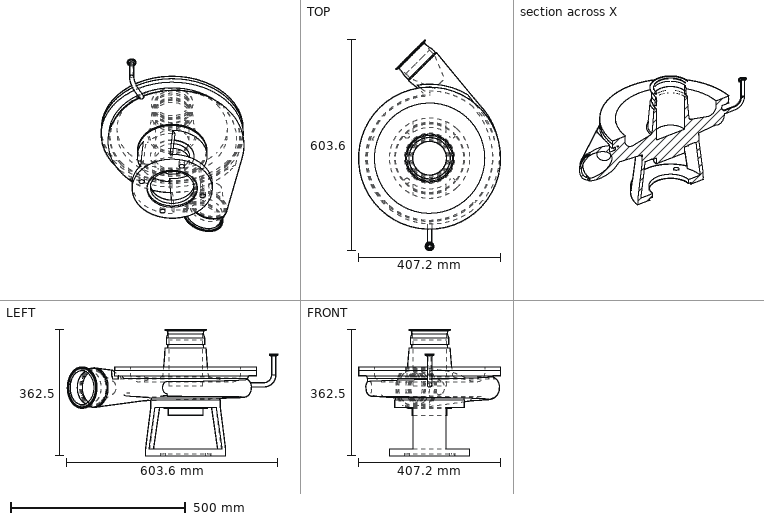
import cadquery as cq
import math

FOOT_TOP = 20.5
BOSS_BOTTOM = 116.5
COLLAR_BOTTOM = 138.5
COLLAR_TOP = 161.0
VOLUTE_Z = 196.0
CLEARANCE_Z = 221.0
FLANGE_BOTTOM = 229.5
COVER_BOTTOM = 244.5
COVER_TOP = 255.5
OVERALL_HEIGHT = 362.5

FOOT_RADIUS = 115.0
FOOT_BORE_RADIUS = 62.5
FOOT_RECESS_RADIUS = 72.0
FOOT_RECESS_DEPTH = 6.0
BOLT_CIRCLE_RADIUS = 91.5
BOLT_HOLE_DIAMETER = 15.0
BOLT_HOLE_COUNT = 4
BOLT_START_ANGLE = 45.0
LEG_WIDTH = 95.0
LEG_THICKNESS = 12.0

COLLAR_RADIUS = 100.0
COLLAR_NECK_RADIUS = 98.0
HUB_PLATE_RADIUS = 62.5
HUB_PLATE_THICKNESS = 2.0
BOSS_RADIUS = 50.0

CASING_RADIUS = 178.0
CASING_FLOOR_INNER_Z = 166.5
CASING_FLOOR_OUTER_Z = 172.0
CASING_CORNER = 8.0
NECK_FLARE = 3.5
FLANGE_RADIUS = 203.61
COVER_SETBACK = 0.3
COVER_RADIUS = FLANGE_RADIUS - COVER_SETBACK

BOWL_RADIUS = 158.0
BOWL_FLOOR_RADIUS = 129.5
BOWL_FLOOR_Z = 213.0
HUB_BASE_RADIUS = 69.0
HUB_BASE_Z = 226.0
HUB_BASE_FLARE = 3.5
HUB_TOP_RADIUS = 59.0

COUPLING_FLANGE_RADIUS = 59.5
COUPLING_FLANGE_THICKNESS = 2.0
COUPLING_FLANGE_TAPER = 2.5
COUPLING_TUBE_RADIUS = 51.6
COUPLING_SLEEVE_RADIUS = 55.3
BORE_RADIUS = 48.5
INNER_BORE_RADIUS = 48.0
BORE_STEP_DEPTH = 29.5
BORE_DEPTH = 50.0

INLET_TAPER_START = 13.5
INLET_SLEEVE_START = 24.5
INLET_SLEEVE_END = 43.5
INLET_LENGTH = 53.0
OUTLET_TAPER_START = 11.5
OUTLET_SLEEVE_START = 32.0
OUTLET_SLEEVE_END = 46.0
OUTLET_LENGTH = 49.5

INLET_PASSAGE_BOTTOM = 200.0
OUTLET_PASSAGE_DEPTH = 118.0
OUTLET_PASSAGE_END_RADIUS = 20.0

TAIL_ANGLE = 162.5
OUTLET_ANGLE = 45.0
TAIL_HALF_WIDTH = 18.0
TAIL_HALF_HEIGHT = 25.0
TAIL_CENTRE_RADIUS = 165.0
THROAT_RADIUS = 38.0
THROAT_CENTRE_RADIUS = 171.0
SECTION_COUNT = 10
GROWTH_POWER = 1.85

OUTLET_REACH = 248.7
OUTLET_END_RADIUS = 57.0
CLEARANCE_RADIUS = 212.0
CLEARANCE_INNER_RADIUS = 193.0
INSIDE_CORNER_ROUNDING = 6.0

DRAIN_Z = 204.0
DRAIN_REACH = 252.3
DRAIN_RADIUS = 6.5
DRAIN_BORE_RADIUS = 4.6
DRAIN_BEND_RADIUS = 28.0
DRAIN_TOP = 292.0
DRAIN_FLANGE_RADIUS = 12.5
DRAIN_FLANGE_THICKNESS = 3.0
DRAIN_FLANGE_TAPER = 3.0
DRAIN_ROOT = 170.0

GASKET_GROOVE_DEPTH = 1.0
OUTLET_GASKET_RADII = (55.0, 58.0)
DRAIN_GASKET_RADII = (8.5, 11.0)


def disc(radius, bottom, top):
    return cq.Workplane("XY").workplane(offset=bottom).circle(radius).extrude(top - bottom)


def turned(points):
    """Solid of revolution about Z from (radius, z) points."""
    return cq.Workplane("XZ").polyline(points).close().revolve(360, (0, 0, 0), (0, 1, 0))


def gasket_groove(radii):
    """Ring to cut into a flange face that lies at the origin."""
    inner, outer = radii
    return disc(outer, -GASKET_GROOVE_DEPTH, 0).cut(disc(inner, -GASKET_GROOVE_DEPTH, 0))


def make_foot():
    """Bolted ring with a shallow recess around its bore on the underside."""
    foot = disc(FOOT_RADIUS, 0, FOOT_TOP).cut(disc(FOOT_BORE_RADIUS, 0, FOOT_TOP))
    holes = (
        cq.Workplane("XY")
        .polarArray(BOLT_CIRCLE_RADIUS, BOLT_START_ANGLE, 360, BOLT_HOLE_COUNT)
        .circle(BOLT_HOLE_DIAMETER / 2)
        .extrude(FOOT_TOP)
    )
    recess = disc(FOOT_RECESS_RADIUS, 0, FOOT_RECESS_DEPTH)
    return foot.cut(holes).cut(recess)


def make_legs():
    """Two opposite strips of a conical shell that joins the foot to the collar."""
    shell = turned([
        (FOOT_RADIUS - LEG_THICKNESS, FOOT_TOP),
        (FOOT_RADIUS, FOOT_TOP),
        (COLLAR_RADIUS, COLLAR_BOTTOM),
        (COLLAR_RADIUS - LEG_THICKNESS, COLLAR_BOTTOM),
    ])
    strip = cq.Workplane("XY").rect(LEG_WIDTH, 2 * FOOT_RADIUS).extrude(COLLAR_TOP)
    return shell.intersect(strip)


def make_bowl():
    """Space of the dished recess: a sloping floor, a rounding and an upright wall."""
    floor_slope = math.atan2(HUB_BASE_Z - BOWL_FLOOR_Z, BOWL_FLOOR_RADIUS - HUB_BASE_RADIUS)
    rounding = (BOWL_RADIUS - BOWL_FLOOR_RADIUS) / (1 + math.sin(floor_slope))
    wall_bottom = BOWL_FLOOR_Z + rounding * math.cos(floor_slope)
    return (
        cq.Workplane("XZ")
        .moveTo(0, HUB_BASE_Z)
        .lineTo(HUB_BASE_RADIUS, HUB_BASE_Z)
        .lineTo(BOWL_FLOOR_RADIUS, BOWL_FLOOR_Z)
        .tangentArcPoint((BOWL_RADIUS, wall_bottom), relative=False)
        .lineTo(BOWL_RADIUS, COVER_TOP)
        .lineTo(0, COVER_TOP)
        .close()
        .revolve(360, (0, 0, 0), (0, 1, 0))
    )


def make_casing():
    """Solid casing with its collar, hub, flange and dished cover, all turned about Z."""
    under = turned([
        (0, BOSS_BOTTOM),
        (BOSS_RADIUS, BOSS_BOTTOM),
        (BOSS_RADIUS, COLLAR_BOTTOM - HUB_PLATE_THICKNESS),
        (HUB_PLATE_RADIUS, COLLAR_BOTTOM - HUB_PLATE_THICKNESS),
        (HUB_PLATE_RADIUS, COLLAR_BOTTOM),
        (COLLAR_RADIUS, COLLAR_BOTTOM),
        (COLLAR_RADIUS, COLLAR_TOP),
        (COLLAR_NECK_RADIUS, COLLAR_TOP),
        (COLLAR_NECK_RADIUS, CASING_FLOOR_INNER_Z),
        (0, CASING_FLOOR_INNER_Z),
    ])
    hub_slope = (HUB_BASE_RADIUS - HUB_BASE_FLARE, HUB_BASE_Z + HUB_BASE_FLARE)
    corner_bulge = CASING_CORNER * (1 - math.sqrt(0.5))
    shell = (
        cq.Workplane("XZ")
        .moveTo(0, CASING_FLOOR_INNER_Z)
        .lineTo(COLLAR_NECK_RADIUS, CASING_FLOOR_INNER_Z)
        .lineTo(CASING_RADIUS - CASING_CORNER, CASING_FLOOR_OUTER_Z)
        .threePointArc(
            (CASING_RADIUS - corner_bulge, CASING_FLOOR_OUTER_Z + corner_bulge),
            (CASING_RADIUS, CASING_FLOOR_OUTER_Z + CASING_CORNER),
        )
        .lineTo(CASING_RADIUS, FLANGE_BOTTOM - 2 * NECK_FLARE)
        .lineTo(CASING_RADIUS + NECK_FLARE, FLANGE_BOTTOM)
        .lineTo(FLANGE_RADIUS, FLANGE_BOTTOM)
        .lineTo(FLANGE_RADIUS, COVER_BOTTOM)
        .lineTo(COVER_RADIUS, COVER_BOTTOM)
        .lineTo(COVER_RADIUS, COVER_TOP)
        .lineTo(0, COVER_TOP)
        .close()
        .revolve(360, (0, 0, 0), (0, 1, 0))
    )
    hub_top = OVERALL_HEIGHT - INLET_LENGTH
    hub = turned([
        (0, HUB_BASE_Z),
        (HUB_BASE_RADIUS, HUB_BASE_Z),
        hub_slope,
        (HUB_TOP_RADIUS, hub_top),
        (0, hub_top),
    ])
    return shell.cut(make_bowl()).union(hub).union(under)


def make_coupling(taper_start, sleeve_start, sleeve_end, length):
    """Coupling along +Z with its free end at the origin; the stations are depths below that end."""
    return turned([
        (0, -length),
        (COUPLING_TUBE_RADIUS, -length),
        (COUPLING_TUBE_RADIUS, -sleeve_end),
        (COUPLING_SLEEVE_RADIUS, -sleeve_end),
        (COUPLING_SLEEVE_RADIUS, -sleeve_start),
        (COUPLING_TUBE_RADIUS, -taper_start),
        (COUPLING_TUBE_RADIUS, -COUPLING_FLANGE_THICKNESS - COUPLING_FLANGE_TAPER),
        (COUPLING_FLANGE_RADIUS, -COUPLING_FLANGE_THICKNESS),
        (COUPLING_FLANGE_RADIUS, 0),
        (0, 0),
    ])


def make_bore():
    """Stepped coupling bore running down from the origin."""
    return disc(BORE_RADIUS, -BORE_STEP_DEPTH, 0).union(disc(INNER_BORE_RADIUS, -BORE_DEPTH, 0))


def volute_section(progress):
    """Elliptical wire of the volute; progress runs from 0 at the tail to 1 at the throat."""
    angle = TAIL_ANGLE + progress * (360 + OUTLET_ANGLE - TAIL_ANGLE)
    growth = progress ** GROWTH_POWER
    half_width = TAIL_HALF_WIDTH + growth * (THROAT_RADIUS - TAIL_HALF_WIDTH)
    half_height = TAIL_HALF_HEIGHT + growth * (THROAT_RADIUS - TAIL_HALF_HEIGHT)
    centre_radius = TAIL_CENTRE_RADIUS + growth * (THROAT_CENTRE_RADIUS - TAIL_CENTRE_RADIUS)
    upright = cq.Plane(origin=(centre_radius, 0, VOLUTE_Z), xDir=(0, 0, 1), normal=(0, 1, 0))
    wire = cq.Workplane(upright).ellipse(half_height, half_width).wires().val()
    return wire.rotate(cq.Vector(0, 0, 0), cq.Vector(0, 0, 1), angle)


def make_volute():
    sections = [volute_section(i / (SECTION_COUNT - 1)) for i in range(SECTION_COUNT)]
    spiral = cq.Workplane(cq.Solid.makeLoft(sections))
    tail_cap = (
        cq.Workplane("XZ")
        .ellipseArc(TAIL_HALF_WIDTH, TAIL_HALF_HEIGHT, -90, 90, startAtCurrent=False)
        .close()
        .revolve(360, (0, 0, 0), (0, 1, 0))
    )
    tail_cap = tail_cap.translate((TAIL_CENTRE_RADIUS, 0, VOLUTE_Z))
    return spiral.union(tail_cap.rotate((0, 0, 0), (0, 0, 1), TAIL_ANGLE))


def outlet_plane(distance):
    """Plane square to the outlet axis, at a distance along it from the volute throat."""
    turn = math.radians(OUTLET_ANGLE)
    along = (-math.sin(turn), math.cos(turn), 0)
    origin = (
        THROAT_CENTRE_RADIUS * math.cos(turn) + distance * along[0],
        THROAT_CENTRE_RADIUS * math.sin(turn) + distance * along[1],
        VOLUTE_Z,
    )
    return cq.Plane(origin=origin, xDir=(0, 0, 1), normal=along)


def make_outlet_pipe():
    length = OUTLET_REACH - OUTLET_LENGTH
    return (
        cq.Workplane(outlet_plane(0))
        .circle(THROAT_RADIUS)
        .workplane(offset=length)
        .circle(OUTLET_END_RADIUS)
        .loft()
    )


def on_outlet(shape):
    """Moves a shape built along Z so that its origin is the outlet mouth."""
    return cq.Workplane(shape.val().moved(cq.Location(outlet_plane(OUTLET_REACH))))


def make_outlet_passage():
    """Coupling bore and the narrowing passage behind it."""
    passage = turned([
        (0, -OUTLET_PASSAGE_DEPTH),
        (OUTLET_PASSAGE_END_RADIUS, -OUTLET_PASSAGE_DEPTH),
        (INNER_BORE_RADIUS, -BORE_DEPTH),
        (0, -BORE_DEPTH),
    ])
    return make_bore().union(passage).union(gasket_groove(OUTLET_GASKET_RADII))


def make_inlet_passage():
    """Coupling bore and the straight passage behind it."""
    bore = make_bore().translate((0, 0, OVERALL_HEIGHT))
    return bore.union(disc(INNER_BORE_RADIUS, INLET_PASSAGE_BOTTOM, OVERALL_HEIGHT - BORE_DEPTH))


def make_clearance():
    """Ring of free space around the flange, cut into the volute and the outlet pipe."""
    ring = disc(CLEARANCE_RADIUS, CLEARANCE_Z, OVERALL_HEIGHT)
    return ring.cut(disc(CLEARANCE_INNER_RADIUS, CLEARANCE_Z, OVERALL_HEIGHT))


def make_drain():
    """Bent pipe that leaves the casing towards -Y and turns up to a small flange."""
    bend_start = DRAIN_REACH - DRAIN_BEND_RADIUS
    bend_top = DRAIN_Z + DRAIN_BEND_RADIUS
    diagonal = DRAIN_BEND_RADIUS * math.sqrt(0.5)
    path = (
        cq.Workplane("YZ")
        .moveTo(-DRAIN_ROOT, DRAIN_Z)
        .lineTo(-bend_start, DRAIN_Z)
        .threePointArc((-bend_start - diagonal, bend_top - diagonal), (-DRAIN_REACH, bend_top))
        .lineTo(-DRAIN_REACH, DRAIN_TOP)
    )
    pipe = cq.Workplane("XZ", origin=(0, -DRAIN_ROOT, DRAIN_Z)).circle(DRAIN_RADIUS).sweep(path)
    flange_bottom = DRAIN_TOP - DRAIN_FLANGE_THICKNESS
    flange = turned([
        (0, flange_bottom - DRAIN_FLANGE_TAPER),
        (DRAIN_RADIUS, flange_bottom - DRAIN_FLANGE_TAPER),
        (DRAIN_FLANGE_RADIUS, flange_bottom),
        (DRAIN_FLANGE_RADIUS, DRAIN_TOP),
        (0, DRAIN_TOP),
    ])
    bore = disc(DRAIN_BORE_RADIUS, bend_top, DRAIN_TOP)
    groove = gasket_groove(DRAIN_GASKET_RADII).translate((0, 0, DRAIN_TOP))
    shift = (0, -DRAIN_REACH, 0)
    return pipe.union(flange.translate(shift)).cut(bore.union(groove).translate(shift))


inlet = make_coupling(INLET_TAPER_START, INLET_SLEEVE_START, INLET_SLEEVE_END, INLET_LENGTH)
outlet = make_coupling(OUTLET_TAPER_START, OUTLET_SLEEVE_START, OUTLET_SLEEVE_END, OUTLET_LENGTH)
scroll = make_volute().union(make_outlet_pipe()).cut(make_clearance()).cut(make_bowl())
pump = make_casing().union(scroll)
inside_corner = cq.selectors.NearestToPointSelector((0, CASING_RADIUS, VOLUTE_Z))
pump = pump.edges(inside_corner).fillet(INSIDE_CORNER_ROUNDING)
result = (
    pump
    .union(inlet.translate((0, 0, OVERALL_HEIGHT)))
    .union(on_outlet(outlet))
    .union(make_drain())
    .union(make_legs())
    .union(make_foot())
    .cut(make_inlet_passage())
    .cut(on_outlet(make_outlet_passage()))
)